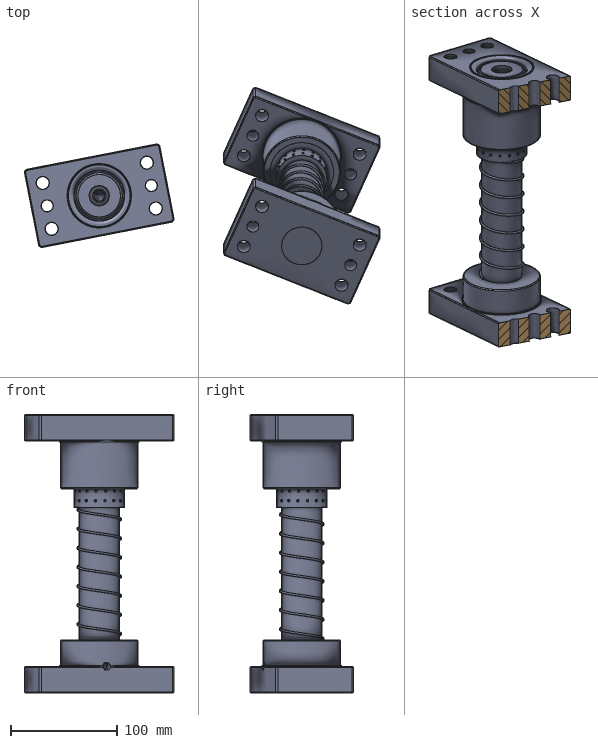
import cadquery as cq
import math

TOTAL_HEIGHT = 262.42
TURN_ANGLE = 11.05

PLATE_LENGTH = 130.0
PLATE_WIDTH = 75.0
PLATE_THICKNESS = 25.0
CORNER_CHAMFER = 2.0
EDGE_CHAMFER = 1.0
BOSS_DIAMETER = 73.0
BOSS_CHAMFER = 1.0
COLLAR_DIAMETER = PLATE_WIDTH
COLLAR_HEIGHT = 1.0
BASE_BOSS_HEIGHT = 25.0
HEAD_BOSS_HEIGHT = 45.0

HOLE_ROW_SPACING = 100.0
SCREW_HOLE_SPACING = 44.0
SCREW_HOLE_DIAMETER = 12.0
DOWEL_HOLE_DIAMETER = 11.0

LOCK_HOLE_DIAMETER = 7.0

PILLAR_DIAMETER = 38.0
TAP_HOLE_DIAMETER = 10.2
TAP_HOLE_DEPTH = 25.0
TAP_COUNTERSINK_DIAMETER = 12.6
DRILL_POINT_ANGLE = 118.0

BUSH_OUTER_DIAMETER = 60.0
BUSH_BORE_DIAMETER = 48.0
BUSH_MOUTH_RADIUS = 3.0
BUSH_RIM_CHAMFER = 0.9
HEAD_RIM_CHAMFER = 0.3

DISC_TOP = 260.0
DISC_THICKNESS = 15.0
DISC_DIAMETER = 43.6
DISC_TOP_DIAMETER = 40.0
DISC_TAPER_HEIGHT = 3.0
DISC_HOLE_DIAMETER = 19.0

CAGE_DIAMETER = 47.6
CAGE_BOTTOM = 174.9
POCKET_DIAMETER = 2.0
POCKET_DEPTH = 1.0
POCKETS_PER_ROW = 16
POCKET_ROW_COUNT = 2
POCKET_ROW_SPACING = 9.0
POCKET_ROW_TWIST = 1.7
FIRST_POCKET_HEIGHT = 6.3
FIRST_POCKET_ANGLE = 272.4

WIRE_DIAMETER = 2.0
SPRING_PITCH = 18.0
SPRING_START_ANGLE = 82.0

BASE_TOP = PLATE_THICKNESS + BASE_BOSS_HEIGHT
HEAD_BOTTOM = TOTAL_HEIGHT - PLATE_THICKNESS - HEAD_BOSS_HEIGHT
PILLAR_TOP = DISC_TOP - DISC_THICKNESS


def cylinder(diameter, bottom, top):
    return cq.Workplane("XY").workplane(offset=bottom).circle(diameter / 2).extrude(top - bottom)


def plate_holes(points, diameter):
    return cq.Workplane("XY").pushPoints(points).circle(diameter / 2).extrude(PLATE_THICKNESS)


def flange(boss_height):
    """Plate on Z = 0 with a collar and boss rising from it, drilled at both ends."""
    plate = (
        cq.Workplane("XY")
        .box(PLATE_LENGTH, PLATE_WIDTH, PLATE_THICKNESS, centered=(True, True, False))
        .edges("|Z").chamfer(CORNER_CHAMFER)
        .faces("<Z or >Z").edges().chamfer(EDGE_CHAMFER)
    )
    collar = cylinder(COLLAR_DIAMETER, EDGE_CHAMFER, PLATE_THICKNESS + COLLAR_HEIGHT)
    boss = cylinder(BOSS_DIAMETER, PLATE_THICKNESS, PLATE_THICKNESS + boss_height)
    boss = boss.faces(">Z").edges().chamfer(BOSS_CHAMFER)
    row_x = HOLE_ROW_SPACING / 2
    row_y = SCREW_HOLE_SPACING / 2
    screw_holes = [(x, y) for x in (-row_x, row_x) for y in (-row_y, row_y)]
    dowel_holes = [(-row_x, 0), (row_x, 0)]
    return (
        plate.union(collar).union(boss)
        .cut(plate_holes(screw_holes, SCREW_HOLE_DIAMETER))
        .cut(plate_holes(dowel_holes, DOWEL_HOLE_DIAMETER))
    )


def make_base():
    """Flange bored through for the pillar, with a locking hole from its front side."""
    pillar_seat = cylinder(PILLAR_DIAMETER, 0, BASE_TOP)
    lock_hole = (
        cq.Workplane("XZ").center(0, PLATE_THICKNESS)
        .circle(LOCK_HOLE_DIAMETER / 2).extrude(PLATE_WIDTH)
    )
    return flange(BASE_BOSS_HEIGHT).cut(pillar_seat).cut(lock_hole)


def make_head():
    """Upside-down flange, bored through for the bush."""
    head = (
        flange(HEAD_BOSS_HEIGHT)
        .rotate((0, 0, 0), (1, 0, 0), 180)
        .translate((0, 0, TOTAL_HEIGHT))
        .cut(cylinder(BUSH_OUTER_DIAMETER, HEAD_BOTTOM, TOTAL_HEIGHT))
    )
    rim = cq.selectors.RadiusNthSelector(-1)
    return head.faces(">Z").edges("%CIRCLE").edges(rim).chamfer(HEAD_RIM_CHAMFER)


def make_bush():
    bush = cylinder(BUSH_OUTER_DIAMETER, HEAD_BOTTOM, TOTAL_HEIGHT)
    bush = bush.faces(">Z").edges().chamfer(BUSH_RIM_CHAMFER)
    bush = bush.cut(cylinder(BUSH_BORE_DIAMETER, HEAD_BOTTOM, TOTAL_HEIGHT))
    mouth = cq.selectors.RadiusNthSelector(0)
    return bush.faces(">Z").edges(mouth).fillet(BUSH_MOUTH_RADIUS)


def make_pillar():
    hole_radius = TAP_HOLE_DIAMETER / 2
    countersink_radius = TAP_COUNTERSINK_DIAMETER / 2
    countersink_depth = countersink_radius - hole_radius
    hole_end = PILLAR_TOP - TAP_HOLE_DEPTH
    point_height = hole_radius / math.tan(math.radians(DRILL_POINT_ANGLE / 2))
    tap_hole = (
        cq.Workplane("XZ")
        .moveTo(0, PILLAR_TOP)
        .lineTo(countersink_radius, PILLAR_TOP)
        .lineTo(hole_radius, PILLAR_TOP - countersink_depth)
        .lineTo(hole_radius, hole_end)
        .lineTo(0, hole_end - point_height)
        .close()
        .revolve(360, (0, 0, 0), (0, 1, 0))
    )
    return cylinder(PILLAR_DIAMETER, 0, PILLAR_TOP).cut(tap_hole)


def make_disc():
    """Disc resting on the pillar end, with a tapered rim and a through hole."""
    hole_radius = DISC_HOLE_DIAMETER / 2
    rim_radius = DISC_DIAMETER / 2
    return (
        cq.Workplane("XZ")
        .moveTo(hole_radius, PILLAR_TOP)
        .lineTo(rim_radius, PILLAR_TOP)
        .lineTo(rim_radius, DISC_TOP - DISC_TAPER_HEIGHT)
        .lineTo(DISC_TOP_DIAMETER / 2, DISC_TOP)
        .lineTo(hole_radius, DISC_TOP)
        .close()
        .revolve(360, (0, 0, 0), (0, 1, 0))
    )


def make_cage():
    cage = cylinder(CAGE_DIAMETER, CAGE_BOTTOM, PILLAR_TOP).cut(
        cylinder(PILLAR_DIAMETER, CAGE_BOTTOM, PILLAR_TOP)
    )
    pocket = (
        cq.Workplane("YZ").workplane(offset=CAGE_DIAMETER / 2 - POCKET_DEPTH)
        .circle(POCKET_DIAMETER / 2).extrude(2 * POCKET_DEPTH)
    )
    for row in range(POCKET_ROW_COUNT):
        height = CAGE_BOTTOM + FIRST_POCKET_HEIGHT + row * POCKET_ROW_SPACING
        for index in range(POCKETS_PER_ROW):
            angle = FIRST_POCKET_ANGLE + row * POCKET_ROW_TWIST + index * 360 / POCKETS_PER_ROW
            cage = cage.cut(pocket.translate((0, 0, height)).rotate((0, 0, 0), (0, 0, 1), angle))
    return cage


def make_spring():
    """Left-hand coil wound on the pillar, from the base boss up to the cage."""
    wire_radius = WIRE_DIAMETER / 2
    coil_radius = PILLAR_DIAMETER / 2 + wire_radius
    rise = CAGE_BOTTOM - BASE_TOP - WIRE_DIAMETER
    path = cq.Wire.makeHelix(SPRING_PITCH, rise, coil_radius, lefthand=True)
    return (
        cq.Workplane("XZ").center(coil_radius, 0).circle(wire_radius)
        .sweep(cq.Workplane(path), isFrenet=True)
        .rotate((0, 0, 0), (0, 0, 1), SPRING_START_ANGLE)
        .translate((0, 0, BASE_TOP + wire_radius))
    )


bodies = [
    make_base(),
    make_head(),
    make_bush(),
    make_pillar(),
    make_disc(),
    make_cage(),
    make_spring(),
]
turned = [body.rotate((0, 0, 0), (0, 0, 1), TURN_ANGLE) for body in bodies]
result = cq.Compound.makeCompound([body.val() for body in turned])